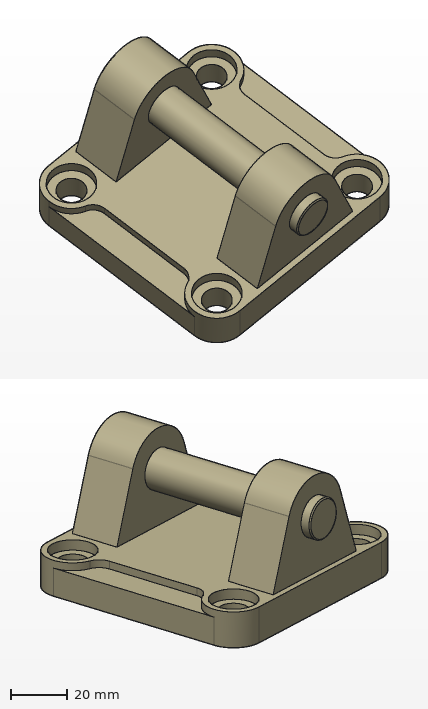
import cadquery as cq
import math

plate_side = 95.0
plate_height = 14.0
corner_radius = 11.5
hole_offset = plate_side / 2 - corner_radius
hole_diameter = 11.0
counterbore_diameter = 18.0
counterbore_depth = 4.0

step_depth = 3.0
step_fillet = 6.0

lug_width = 20.0
lug_outer_span = 90.0
lug_base_length = 49.0
lug_radius = 16.0

total_height = 52.0
pin_length = 98.0
pin_diameter = 16.0
pin_chamfer = 0.5
pin_height = total_height - lug_radius


def make_plate():
    """Square plate with rounded corners and four counterbored holes."""
    return (
        cq.Workplane("XY")
        .rect(plate_side, plate_side)
        .extrude(plate_height)
        .edges("|Z")
        .fillet(corner_radius)
        .faces(">Z")
        .workplane()
        .rect(2 * hole_offset, 2 * hole_offset, forConstruction=True)
        .vertices()
        .cboreHole(hole_diameter, counterbore_diameter, counterbore_depth)
    )


def make_edge_step():
    """Cutter for the +Y edge strip: concentric with the corner bosses, blended to a straight wall."""
    centre_distance = corner_radius + step_fillet
    blend_x = hole_offset - math.sqrt(centre_distance**2 - step_fillet**2)
    blend_y = hole_offset + step_fillet
    share = corner_radius / centre_distance
    meet_x = hole_offset + share * (blend_x - hole_offset)
    meet_y = hole_offset + share * step_fillet
    boss_angle = (math.pi / 2 + math.atan2(meet_y - hole_offset, meet_x - hole_offset)) / 2
    boss_mid_x = hole_offset + corner_radius * math.cos(boss_angle)
    boss_mid_y = hole_offset + corner_radius * math.sin(boss_angle)
    blend_angle = (-math.pi / 2 + math.atan2(meet_y - blend_y, meet_x - blend_x)) / 2
    blend_mid_x = blend_x + step_fillet * math.cos(blend_angle)
    blend_mid_y = blend_y + step_fillet * math.sin(blend_angle)
    return (
        cq.Workplane("XY", origin=(0, 0, plate_height - step_depth))
        .moveTo(-hole_offset, plate_side / 2)
        .threePointArc((-boss_mid_x, boss_mid_y), (-meet_x, meet_y))
        .threePointArc((-blend_mid_x, blend_mid_y), (-blend_x, hole_offset))
        .lineTo(blend_x, hole_offset)
        .threePointArc((blend_mid_x, blend_mid_y), (meet_x, meet_y))
        .threePointArc((boss_mid_x, boss_mid_y), (hole_offset, plate_side / 2))
        .close()
        .extrude(step_depth)
    )


def make_lug(x_start):
    """Tapered lug whose sides run tangent into a round top centred on the pin."""
    half_base = lug_base_length / 2
    rise = pin_height - plate_height
    tangent_angle = math.acos(lug_radius / math.hypot(half_base, rise)) - math.atan2(rise, half_base)
    tangent_y = lug_radius * math.cos(tangent_angle)
    tangent_z = pin_height + lug_radius * math.sin(tangent_angle)
    return (
        cq.Workplane("YZ", origin=(x_start, 0, 0))
        .moveTo(-half_base, plate_height)
        .lineTo(half_base, plate_height)
        .lineTo(tangent_y, tangent_z)
        .threePointArc((0, total_height), (-tangent_y, tangent_z))
        .close()
        .extrude(lug_width)
    )


def make_pin():
    """Pin through both lugs, chamfered at its ends."""
    return (
        cq.Workplane("YZ", origin=(-pin_length / 2, 0, pin_height))
        .circle(pin_diameter / 2)
        .extrude(pin_length)
        .faces("<X or >X")
        .chamfer(pin_chamfer)
    )


result = make_plate()
for turn in (0, 180):
    result = result.cut(make_edge_step().rotate((0, 0, 0), (0, 0, 1), turn))
for lug_start in (-lug_outer_span / 2, lug_outer_span / 2 - lug_width):
    result = result.union(make_lug(lug_start))
result = result.union(make_pin())